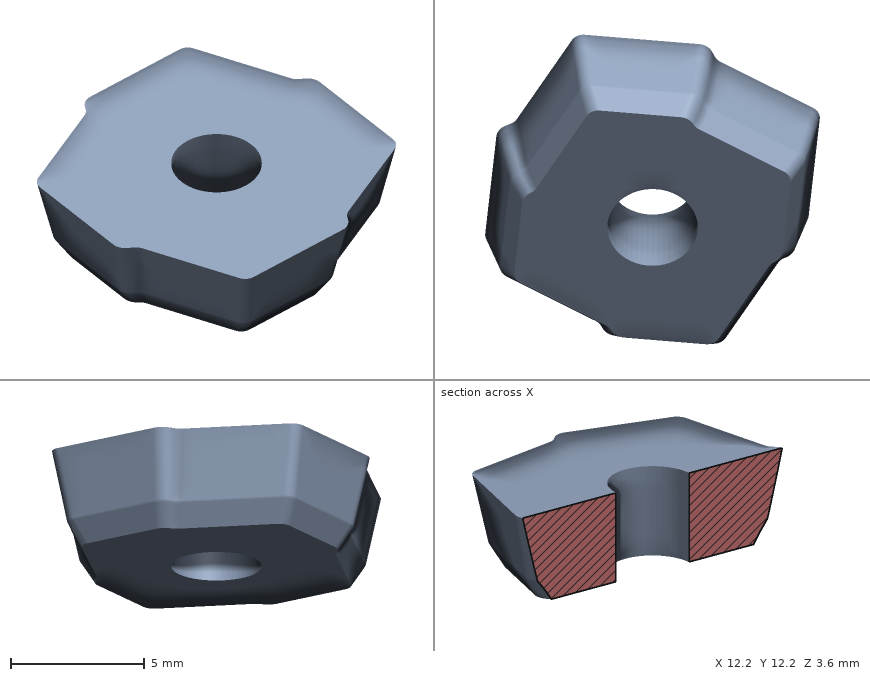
import cadquery as cq
import math

HEIGHT = 3.6
WAIST_HEIGHT = 0.9
HOLE_DIAMETER = 3.4

UPPER_CLEARANCE_ANGLE = 11.0
LOWER_CLEARANCE_ANGLE = 29.5

QUARTERS = 4
MAIN_HEADING = -15.0
MAIN_DISTANCE = 6.0
STEP_HEADING = 45.0
STEP_DISTANCE = 4.325
MINOR_HEADING = 10.0
MINOR_DISTANCE = 5.67

CORNER_RADIUS = 0.5
NOSE_RADIUS = 0.6
STEP_ROOT_RADIUS = 0.55
WAIST_RADIUS = 0.2

SELECTION_MARGIN = 0.01


def direction(angle):
    """Unit vector at an angle in radians."""
    return cq.Vector(math.cos(angle), math.sin(angle))


def edge_crossing(first, second):
    """Point where two edges, each given as (heading, distance), cross."""
    heading_1, distance_1 = first
    heading_2, distance_2 = second
    along_1 = direction(math.radians(heading_1))
    along_2 = direction(math.radians(heading_2))
    return (along_1 * distance_2 - along_2 * distance_1) / along_1.cross(along_2).z


def rounded_vertex(before, after, radius):
    """Start, middle and end of the arc that rounds the vertex between two edges."""
    vertex = edge_crossing(before, after)
    angle_before = math.radians(before[0])
    angle_after = math.radians(after[0])
    half_turn = math.remainder(angle_after - angle_before, 2 * math.pi) / 2
    toward_center = angle_before + half_turn + math.copysign(math.pi / 2, half_turn)
    setback = radius * math.tan(abs(half_turn))
    vertex_to_arc = radius / math.cos(half_turn) - radius

    start = vertex - direction(angle_before) * setback
    middle = vertex + direction(toward_center) * vertex_to_arc
    end = vertex + direction(angle_after) * setback
    return [(point.x, point.y) for point in (start, middle, end)]


def outline(inset, z):
    """Closed wire of all edges moved inward by the inset, with rounded vertices."""
    edges = []
    radii = []
    for quarter in range(QUARTERS):
        turn = quarter * 360.0 / QUARTERS
        edges += [
            (MAIN_HEADING + turn, MAIN_DISTANCE - inset),
            (STEP_HEADING + turn, STEP_DISTANCE - inset),
            (MINOR_HEADING + turn, MINOR_DISTANCE - inset),
        ]
        radii += [CORNER_RADIUS, NOSE_RADIUS, STEP_ROOT_RADIUS]

    arcs = [
        rounded_vertex(edges[index - 1], edges[index], radius)
        for index, radius in enumerate(radii)
    ]
    first_start, first_middle, first_end = arcs[0]
    path = cq.Workplane("XY", origin=(0, 0, z)).moveTo(*first_start)
    path = path.threePointArc(first_middle, first_end)
    for start, middle, end in arcs[1:]:
        path = path.lineTo(*start).threePointArc(middle, end)
    return path.close().val()


def band(lower_wire, upper_wire):
    """Solid with straight sides between two outlines."""
    return cq.Workplane(cq.Solid.makeLoft([lower_wire, upper_wire], True))


def tapered_body():
    """Two stacked bands, the lower one sloping more, meeting at the waist."""
    upper_slope = math.tan(math.radians(UPPER_CLEARANCE_ANGLE))
    lower_slope = math.tan(math.radians(LOWER_CLEARANCE_ANGLE))
    waist_inset = (HEIGHT - WAIST_HEIGHT) * upper_slope
    base_inset = waist_inset + WAIST_HEIGHT * lower_slope

    top = outline(0, HEIGHT)
    waist = outline(waist_inset, WAIST_HEIGHT)
    base = outline(base_inset, 0)
    return band(base, waist).union(band(waist, top))


def round_waist(body):
    """Fillet the edges all around the waist."""
    reach = 2 * MAIN_DISTANCE
    waist_edges = cq.selectors.BoxSelector(
        (-reach, -reach, WAIST_HEIGHT - SELECTION_MARGIN),
        (reach, reach, WAIST_HEIGHT + SELECTION_MARGIN),
    )
    return body.edges(waist_edges).fillet(WAIST_RADIUS)


def center_hole():
    """Cylinder of the hole through the full height."""
    return cq.Workplane("XY").circle(HOLE_DIAMETER / 2).extrude(HEIGHT)


result = round_waist(tapered_body()).cut(center_hole())